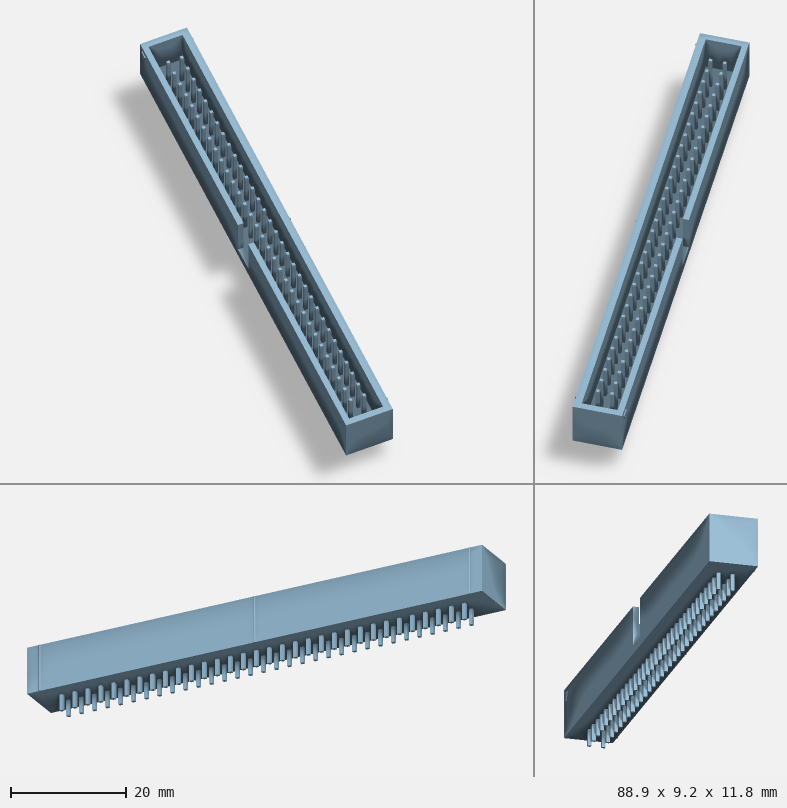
import cadquery as cq


length = 88.9
width = 8.8
height = 8.8
end_wall = 1.2
front_wall = 1.1
back_wall = 1.3
cavity_depth = 7.1
floor_z = height - cavity_depth

notch_width = 4.45

columns = 32
rows = 2
row_length = 78.7
pitch = row_length / (columns - 1)
rows_y = -0.045
pin_size = 0.64
tail_length = 3.0
tip_setback = 0.5
tip_taper_height = 0.45
tip_taper_inset = 0.045

rib_radius = 0.2
rib_end_offset = 2.5

mark_size = 1.6
mark_thickness = 0.2
mark_end_offset = 0.9
mark_top_offset = 1.0


def make_shroud():
    """Rectangular box, open at the top, with the keying notch in its front wall."""
    body = cq.Workplane("XY").box(length, width, height, centered=(True, True, False))
    cavity_width = width - front_wall - back_wall
    cavity = (
        cq.Workplane("XY", origin=(0, (front_wall - back_wall) / 2, floor_z))
        .box(length - 2 * end_wall, cavity_width, cavity_depth, centered=(True, True, False))
    )
    notch = (
        cq.Workplane("XY", origin=(0, -width / 2, floor_z))
        .box(notch_width, 2 * front_wall, cavity_depth, centered=(True, True, False))
    )
    return body.cut(cavity).cut(notch)


def make_pins():
    """Grid of square pins with tapered upper tips, standing through the floor."""
    pin_length = tail_length + height - tip_setback
    shaft_length = pin_length - tip_taper_height
    tip_size = pin_size - 2 * tip_taper_inset
    shafts = (
        cq.Workplane("XY", origin=(0, rows_y, -tail_length))
        .rarray(pitch, pitch, columns, rows)
        .rect(pin_size, pin_size)
        .extrude(shaft_length)
    )
    tip = (
        cq.Workplane("XY", origin=(0, rows_y, shaft_length - tail_length))
        .rect(pin_size, pin_size)
        .workplane(offset=tip_taper_height)
        .rect(tip_size, tip_size)
        .loft()
        .val()
    )
    tips = (
        cq.Workplane("XY")
        .rarray(pitch, pitch, columns, rows)
        .eachpoint(lambda place: tip.moved(place))
    )
    return shafts.union(tips)


def make_ribs():
    """Full-height round ribs, half buried in the back wall: one mid-length, one near each end."""
    rib_x = length / 2 - rib_end_offset
    return (
        cq.Workplane("XY")
        .pushPoints([(x, width / 2) for x in (-rib_x, 0, rib_x)])
        .circle(rib_radius)
        .extrude(height)
    )


def make_pin_one_mark():
    """Raised triangle, point down, at the left end of the front wall."""
    left = -length / 2 + mark_end_offset
    top = height - mark_top_offset
    return (
        cq.Workplane("XZ", origin=(0, -width / 2, 0))
        .moveTo(left, top)
        .lineTo(left + mark_size, top)
        .lineTo(left + mark_size / 2, top - mark_size)
        .close()
        .extrude(mark_thickness)
    )


result = make_shroud().union(make_pins()).union(make_ribs()).union(make_pin_one_mark())